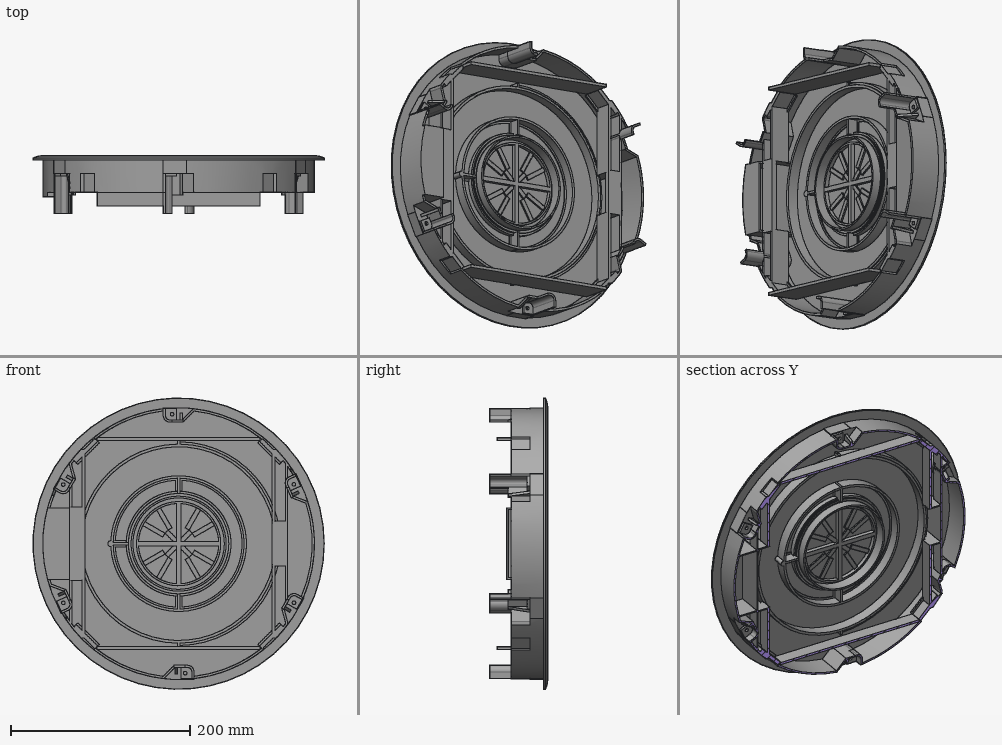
import cadquery as cq
import math


flange_radius = 162.5
flange_edge = 2.3
crown_height = 5.0
crown_radius = 150.5
crown_mid_radius = 158.0
crown_mid_height = 4.1
floor_depth = -2.5

ring_outer_radius = 151.5
ring_inner_radius = 149.0
ring_depth = 36.0

rail_half_length = 91.0
rail_inner_z = 115.0
rail_thickness = 3.3
rail_depth = 51.5

bridge_depth = 12.9

inner_wall_x = 104.2
inner_wall_thickness = 3.4
inner_wall_half_length = 101.0
outer_wall_x = 119.0
outer_wall_thickness = 2.5
outer_wall_half_length = 90.0

box_plate = 2.0
left_box_half_height = 41.0
left_block_half_height = 40.0
left_block_depth = 41.0
right_box_half_height = 25.0
window_depth = 30.0

corner_wall_inner = 144.5
corner_wall_outer = 149.0
corner_wall_length = 34.0
corner_ledge_inner = 142.0
corner_ledge_depth = 15.0
corner_pocket_x = 94.0
corner_pocket_z = 105.0
corner_pocket_depth = 15.0

rib_height = 13.0
large_rib_radii = (108.0, 111.0)
large_rib_step_radius = 113.6
large_rib_step = 1.5
small_rib_radii = (73.0, 75.7)
collar_radii = (56.0, 58.5)
collar_height = 6.0
spoke_width = 2.6
groove_step_height = 1.0
groove_step_radius = 70.8
spoke_foot_width = 7.2
pin_radius = 3.3

cap_tube_outer = 53.0
cap_tube_inner = 51.0
cap_depth = 16.0
cap_floor_depth = 2.7
cap_thread_outer = collar_radii[0]
cap_thread_pitch = 2.0
cap_thread_count = 4
cap_cross_width = 5.0
cap_cross_height = 5.0
cap_bar_width = 5.0
cap_bar_height = 2.0
cap_bar_start = 19.0
cap_rim_rib = (44.8, 47.0)

niche_angles = (0, 60, 114.3, 180, 240, 294.3)
niche_roof_depth = 15.0
niche_wall_depth = 39.2
niche_left = -17.2
niche_bottom = 135.6
niche_wall = 2.4
niche_corner_radius = 7.5
niche_right = 4.9
niche_slope = 14.0
lintel_right = 9.0
lintel_z = 151.5
niche_rib_x = 1.3
niche_rib_width = 3.0
niche_rib_length = 10.0
niche_extension_start = 75.0
niche_extension_end = 91.0
foot_depth = 59.81
foot_top = 150.5
foot_tip_x = -7.1
pad_right = -2.5
pad_thickness = 3.0
screw_radius = 2.0
screw_x = -7.3
screw_z = 144.4


def at_depth(depth):
    """Workplane facing -Y with local axes X and Z reaching toward -Y for positive extrusions."""
    return cq.Workplane("XZ", origin=(0, -depth, 0))


def block(x0, x1, z0, z1, top, bottom):
    return (
        at_depth(top)
        .center((x0 + x1) / 2, (z0 + z1) / 2)
        .rect(abs(x1 - x0), abs(z1 - z0))
        .extrude(bottom - top)
    )


def disc(radius, top, bottom):
    return at_depth(top).circle(radius).extrude(bottom - top)


def tube(inner, outer, top, bottom):
    return at_depth(top).circle(outer).circle(inner).extrude(bottom - top)


def turned(shape, angle):
    """Turn a shape about the Y axis, counter-clockwise when looking toward +Y."""
    return shape.rotate((0, 0, 0), (0, 1, 0), -angle)


def plate():
    dome = (
        cq.Workplane("XY")
        .lineTo(flange_radius, 0)
        .lineTo(flange_radius, flange_edge)
        .threePointArc((crown_mid_radius, crown_mid_height), (crown_radius, crown_height))
        .lineTo(0, crown_height)
        .close()
        .revolve(360, (0, 0, 0), (0, 1, 0))
    )
    return dome.cut(disc(ring_inner_radius, floor_depth, 0))


def rails():
    shapes = cq.Workplane()
    for side in (-1, 1):
        inner = side * rail_inner_z
        outer = side * (rail_inner_z + rail_thickness)
        shapes = shapes.add(block(-rail_half_length, rail_half_length, inner, outer, bridge_depth, rail_depth))
    return shapes.combine()


def side_walls(side):
    def wall(x, thickness, half):
        return block(side * x, side * (x + thickness), -half, half, bridge_depth, ring_depth)

    inner = wall(inner_wall_x, inner_wall_thickness, inner_wall_half_length)
    outer = wall(outer_wall_x, outer_wall_thickness, outer_wall_half_length)
    return inner.union(outer)


def side_box(side, half):
    """Roof and two sides that bridge the two upright walls."""
    near = side * (inner_wall_x + inner_wall_thickness)
    far = side * (outer_wall_x + outer_wall_thickness)
    shell = block(near, far, -half, half, floor_depth, ring_depth)
    cavity = block(
        near,
        side * outer_wall_x,
        box_plate - half,
        half - box_plate,
        floor_depth,
        ring_depth - box_plate,
    )
    return shell.cut(cavity)


def side_window(side, half):
    """Opening of a side box through the inner wall."""
    x0 = side * inner_wall_x
    x1 = side * (inner_wall_x + inner_wall_thickness)
    return block(x0, x1, box_plate - half, half - box_plate, bridge_depth, window_depth)


def left_block():
    """Roof and two ends that close the space between the left box and the ring."""
    near = -(outer_wall_x + outer_wall_thickness)
    half = left_block_half_height
    inner_half = half - box_plate
    bulk = block(-flange_radius, near, -half, half, floor_depth, left_block_depth)
    cavity = block(-flange_radius, near, -inner_half, inner_half, floor_depth, left_block_depth - box_plate)
    return bulk.cut(cavity).intersect(disc(ring_outer_radius, floor_depth, left_block_depth))


def left_block_ring():
    """Stretch of ring wall that reaches deeper beside the left block."""
    return tube(ring_inner_radius, ring_outer_radius, 0, left_block_depth).intersect(
        block(-flange_radius, 0, -left_block_half_height, left_block_half_height, 0, left_block_depth)
    )


def corner(angle):
    half = corner_wall_length / 2
    wall = block(corner_wall_inner, corner_wall_outer, -half, half, bridge_depth, ring_depth)
    ledge = block(corner_ledge_inner, corner_wall_outer, -half, half, bridge_depth, corner_ledge_depth)
    corner_solid = wall.union(ledge).intersect(disc(ring_outer_radius, floor_depth, ring_depth))
    return turned(corner_solid, angle)


def corner_pocket(side_x, side_z):
    """Flat-bottomed notch in the outside of the ring beside each corner wall."""
    reach = corner_wall_outer * math.sqrt(2)
    points = [
        (side_x * corner_pocket_x, side_z * (reach - corner_pocket_x)),
        (side_x * corner_pocket_x, side_z * flange_radius),
        (side_x * flange_radius, side_z * flange_radius),
        (side_x * flange_radius, side_z * corner_pocket_z),
        (side_x * (reach - corner_pocket_z), side_z * corner_pocket_z),
    ]
    return at_depth(corner_pocket_depth).polyline(points).close().extrude(ring_depth - corner_pocket_depth)


def floor_ribs():
    top = floor_depth
    bottom = floor_depth + rib_height
    ribs = tube(*large_rib_radii, top, bottom).union(tube(*small_rib_radii, top, bottom))
    ribs = ribs.union(tube(groove_step_radius, small_rib_radii[0], top, top + groove_step_height))
    step = tube(large_rib_radii[1], large_rib_step_radius, top, bottom - large_rib_step)
    ribs = ribs.union(step.intersect(block(0, flange_radius, -flange_radius, flange_radius, top, bottom)))
    ribs = ribs.union(tube(*collar_radii, top, top + collar_height))
    spoke = block(collar_radii[0], small_rib_radii[1], -spoke_width / 2, spoke_width / 2, top, bottom)
    half_foot = spoke_foot_width / 2
    spoke_foot = block(
        collar_radii[0], small_rib_radii[0], -half_foot, half_foot, top, top + groove_step_height
    )
    for angle in (90, 180, 270):
        ribs = ribs.union(turned(spoke, angle)).union(turned(spoke_foot, angle))
    link = block(large_rib_radii[0], rail_inner_z, -spoke_width / 2, spoke_width / 2, top, bottom)
    for angle in (90, 270):
        ribs = ribs.union(turned(link, angle))
    pin = at_depth(top).center(-small_rib_radii[1], 0).circle(pin_radius).extrude(rib_height)
    return ribs.union(pin)


def niche_outline(inset, top, bottom):
    """Prism of the niche, drawn in from its outer outline by the inset and open at the ring."""
    left = niche_left + inset
    low = niche_bottom + inset
    radius = niche_corner_radius - inset
    diagonal = math.sqrt(0.5)
    right = niche_right - inset * (math.sqrt(2) - 1)
    return (
        at_depth(top)
        .moveTo(left, foot_top)
        .lineTo(left, low + radius)
        .threePointArc(
            (left + radius * (1 - diagonal), low + radius * (1 - diagonal)),
            (left + radius, low),
        )
        .lineTo(right, low)
        .lineTo(right + niche_slope, low + niche_slope)
        .lineTo(right + niche_slope, flange_radius)
        .lineTo(left, flange_radius)
        .close()
        .extrude(bottom - top)
    )


def niche_body():
    body = niche_outline(0, floor_depth, ring_depth)
    deep = niche_outline(0, ring_depth, niche_wall_depth)
    deep = deep.intersect(block(niche_left, niche_right, niche_bottom, niche_bottom + niche_wall, 0, foot_depth))
    lintel = niche_outline(0, 0, niche_roof_depth).intersect(
        block(niche_left, lintel_right, niche_bottom, lintel_z, 0, niche_roof_depth)
    )
    return body.intersect(disc(ring_outer_radius, floor_depth, ring_depth)).union(deep).union(lintel)


def niche_rib():
    """Tapered rib standing on the niche wall, shorter toward its free edge."""
    points = [
        (niche_roof_depth, niche_bottom),
        (niche_roof_depth, niche_bottom + niche_rib_length),
        (niche_wall_depth, niche_bottom + niche_wall),
        (niche_wall_depth, niche_bottom),
    ]
    side_plane = cq.Workplane("YZ", origin=(niche_rib_x, 0, 0))
    return side_plane.polyline([(-depth, z) for depth, z in points]).close().extrude(niche_rib_width)


def niche_extension(side):
    """Opening that widens the niche on one side as far as the flat of the outer upright wall."""
    return block(
        side * (outer_wall_x + outer_wall_thickness),
        side * flange_radius,
        -side * niche_extension_start,
        -side * niche_extension_end,
        niche_roof_depth,
        ring_depth,
    )


def foot_leg():
    strip = niche_outline(0, niche_roof_depth, foot_depth).cut(
        niche_outline(niche_wall, niche_roof_depth, foot_depth)
    )
    return strip.intersect(block(niche_left, foot_tip_x, niche_bottom, foot_top, 0, foot_depth))


def foot():
    """Curved leg with a screw pad at its upper end."""
    pad_bottom = niche_roof_depth + pad_thickness
    pad = niche_outline(niche_wall, niche_roof_depth, pad_bottom).intersect(
        block(niche_left, pad_right, niche_bottom, foot_top, 0, foot_depth)
    )
    hole = at_depth(niche_roof_depth).center(screw_x, screw_z).circle(screw_radius).extrude(pad_thickness)
    return foot_leg().union(pad).cut(hole)


def cover():
    body = plate().union(tube(ring_inner_radius, ring_outer_radius, 0, ring_depth))
    body = body.union(rails())
    for side, half in ((-1, left_box_half_height), (1, right_box_half_height)):
        body = body.union(side_walls(side)).union(side_box(side, half)).cut(side_window(side, half))
    body = body.union(left_block()).union(left_block_ring())
    for angle in (45, 135, 225, 315):
        body = body.union(corner(angle))
    for side_x in (-1, 1):
        for side_z in (-1, 1):
            body = body.cut(corner_pocket(side_x, side_z))
    body = body.union(floor_ribs())
    niche = niche_outline(niche_wall, niche_roof_depth, foot_depth).union(foot_leg())
    for angle in niche_angles:
        body = body.union(turned(niche_body(), angle))
    for side in (-1, 1):
        body = body.cut(niche_extension(side))
    for angle in niche_angles:
        body = body.cut(turned(niche, angle)).union(turned(niche_rib(), angle))
    return body.cut(disc(collar_radii[0], -crown_height, rail_depth))


def cap():
    body = disc(cap_tube_outer, -crown_height, cap_floor_depth)
    body = body.union(tube(cap_tube_inner, cap_tube_outer, -crown_height, cap_depth))
    body = body.union(tube(cap_tube_inner, cap_thread_outer, -crown_height, floor_depth))
    for turn in range(cap_thread_count):
        start = floor_depth + (turn + 0.5) * cap_thread_pitch
        body = body.union(tube(cap_tube_inner, cap_thread_outer, start, start + cap_thread_pitch / 2))
    body = body.union(tube(*cap_rim_rib, cap_floor_depth, cap_floor_depth + cap_cross_height))
    reach = cap_rim_rib[0]
    half_cross = cap_cross_width / 2
    cross = block(-reach, reach, -half_cross, half_cross, cap_floor_depth, cap_floor_depth + cap_cross_height)
    half_bar = cap_bar_width / 2
    stem = block(0, cap_bar_start, -half_bar, half_bar, cap_floor_depth, cap_floor_depth + cap_bar_height)
    bar = block(cap_bar_start, reach, -half_bar, half_bar, cap_floor_depth, cap_floor_depth + cap_bar_height)
    for quarter in (0, 90, 180, 270):
        body = body.union(turned(cross, quarter))
        body = body.union(turned(stem, quarter + 45))
        for angle in (30, 60):
            body = body.union(turned(bar, quarter + angle))
    return body


cover_body = cover()
cap_body = cap()
feet = [turned(foot(), angle) for angle in niche_angles]

result = cq.Compound.makeCompound([cover_body.val(), cap_body.val(), *[one.val() for one in feet]])